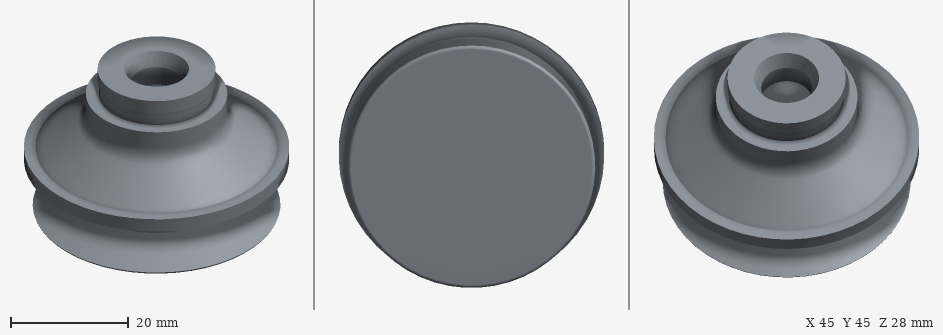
import cadquery as cq
import math

total_height = 28.0
groove_top_z = 25.5
groove_bottom_z = 23.0
collar_bottom_z = 19.85
flange_top_z = 12.25
flange_bottom_z = 9.75
waist_z = 3.95
lip_height = 0.5

head_radius = 20.0 / 2
groove_radius = 19.5 / 2
collar_radius = 24.0 / 2
flange_radius = 45.0 / 2
cone_base_radius = 20.5
waist_radius = 13.0
lip_radius = 21.0
sealing_radius = 20.4

lip_width = lip_radius - sealing_radius
lip_round = (lip_width**2 + lip_height**2) / (2 * lip_height)

shoulder_round = 3.0
shoulder_angle = math.radians(54)
waist_round = 1.0
waist_angle = math.radians(36)

hole_radius = 8.6 / 2
countersink_radius = 11.0 / 2
countersink_depth = 2.5
hole_depth = 6.0


def arc_point(throat_radius, throat_z, round_radius, angle):
    """Point on a concave round, turned by angle from its narrowest place."""
    radius = throat_radius + round_radius * (1 - math.cos(angle))
    height = throat_z + round_radius * math.sin(angle)
    return radius, height


def shoulder_point(angle):
    return arc_point(collar_radius, collar_bottom_z, shoulder_round, -angle)


def waist_point(angle):
    return arc_point(waist_radius, waist_z, waist_round, angle)


def make_body():
    """Solid of revolution: head, collar, flange, bellows waist and sealing lip."""
    profile = (
        cq.Workplane("XZ")
        .moveTo(0, 0)
        .lineTo(sealing_radius, 0)
        .radiusArc((lip_radius, lip_height), -lip_round)
        .lineTo(*waist_point(-waist_angle))
        .threePointArc((waist_radius, waist_z), waist_point(waist_angle))
        .lineTo(cone_base_radius, flange_bottom_z)
        .lineTo(flange_radius, flange_bottom_z)
        .lineTo(flange_radius, flange_top_z)
        .lineTo(cone_base_radius, flange_top_z)
        .lineTo(*shoulder_point(shoulder_angle))
        .threePointArc(shoulder_point(shoulder_angle / 2), (collar_radius, collar_bottom_z))
        .lineTo(collar_radius, groove_bottom_z)
        .lineTo(groove_radius, groove_bottom_z)
        .lineTo(groove_radius, groove_top_z)
        .lineTo(head_radius, groove_top_z)
        .lineTo(head_radius, total_height)
        .lineTo(0, total_height)
        .close()
    )
    return profile.revolve(360, (0, 0, 0), (0, 1, 0))


def make_hole():
    """Blind hole with a conical countersink, opening at the top of the head."""
    profile = (
        cq.Workplane("XZ")
        .moveTo(0, total_height)
        .lineTo(countersink_radius, total_height)
        .lineTo(hole_radius, total_height - countersink_depth)
        .lineTo(hole_radius, total_height - hole_depth)
        .lineTo(0, total_height - hole_depth)
        .close()
    )
    return profile.revolve(360, (0, 0, 0), (0, 1, 0))


result = make_body().cut(make_hole())